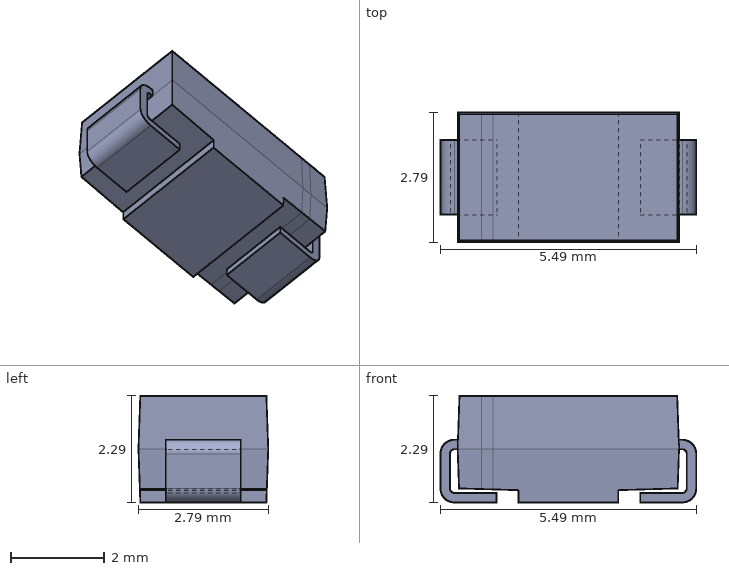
import cadquery as cq
import math

overall_length = 5.49
overall_height = 2.29

body_length = 4.755
body_width = 2.79
parting_height = 1.155
draft_angle = 2.0

foot_length = 2.14
relief_height_at_foot = 0.265
relief_height_at_end = 0.3

band_start = -1.865
band_length = 0.245

lead_width = 1.605
lead_thickness = 0.21
lead_height = 1.35
lead_outer_radius = 0.3
lead_foot_length = 1.21
lead_embed = 0.11


def body_half(height):
    """Half of the body, tapering away from the parting plane; negative heights go down."""
    inset = abs(height) * math.tan(math.radians(draft_angle))
    return (
        cq.Workplane("XY")
        .workplane(offset=parting_height)
        .rect(body_length, body_width)
        .workplane(offset=height)
        .rect(body_length - 2 * inset, body_width - 2 * inset)
        .loft(ruled=True)
    )


def end_relief():
    """Cutter for the -X end of the underside, with a slightly sloping roof."""
    foot_x = -foot_length / 2
    end_x = -body_length / 2
    return (
        cq.Workplane("XZ")
        .moveTo(foot_x, 0)
        .lineTo(foot_x, relief_height_at_foot)
        .lineTo(end_x, relief_height_at_end)
        .lineTo(end_x, 0)
        .close()
        .extrude(body_width / 2, both=True)
    )


def lead():
    """Lead at the -X end: into the body at the top, folded back underneath at the bottom."""
    outer_x = -overall_length / 2
    embedded_length = (overall_length - body_length) / 2 + lead_embed
    arm_underside = lead_height - lead_thickness
    inner_radius = lead_outer_radius - lead_thickness
    strip = (
        cq.Workplane("XZ")
        .moveTo(outer_x, 0)
        .lineTo(outer_x + lead_foot_length, 0)
        .lineTo(outer_x + lead_foot_length, lead_thickness)
        .lineTo(outer_x + lead_thickness, lead_thickness)
        .lineTo(outer_x + lead_thickness, arm_underside)
        .lineTo(outer_x + embedded_length, arm_underside)
        .lineTo(outer_x + embedded_length, lead_height)
        .lineTo(outer_x, lead_height)
        .close()
        .extrude(lead_width / 2, both=True)
    )
    inner_bends = cq.selectors.BoxSelector(
        (outer_x + lead_thickness / 2, -lead_width, lead_thickness / 2),
        (outer_x + lead_thickness * 3 / 2, lead_width, lead_height),
    )
    return (
        strip.edges("|Y and <X").fillet(lead_outer_radius)
        .edges("|Y").edges(inner_bends).fillet(inner_radius)
    )


body = body_half(overall_height - parting_height).union(body_half(-parting_height))
relief = end_relief()
body = body.cut(relief).cut(relief.mirror("YZ"))

minus_x_lead = lead()
part = body.union(minus_x_lead).union(minus_x_lead.mirror("YZ"))

band_slab = cq.Workplane("XY").box(
    band_length, body_width, overall_height, centered=(False, True, False)
).translate((band_start, 0, 0))
band = body.intersect(band_slab)
result = part.cut(band).union(band, clean=False)